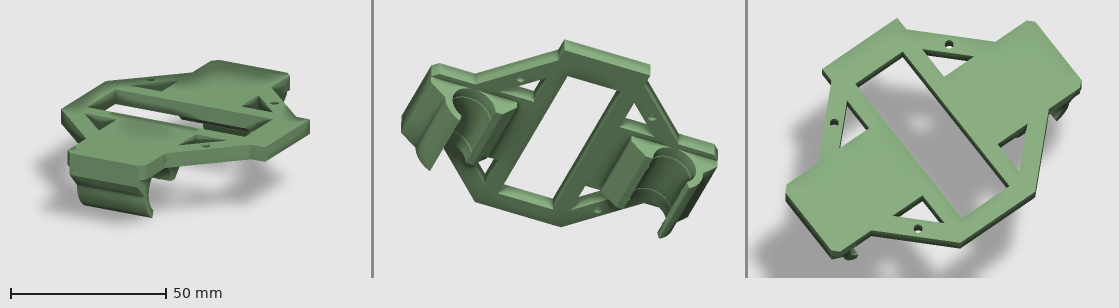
import cadquery as cq
import math

LENGTH = 100.0
PLATE_THICKNESS = 5.0
FRAME_HALF_WIDTH = 35.0
SIDE_TAB_LENGTH = 5.0
SIDE_HALF_LENGTH = 15.0
TAB_HALF_WIDTH = 14.5
TAB_CHAMFER = 2.0

WINDOW_WIDTH = 58.0
WINDOW_LENGTH = 19.0
WINDOW_OFFSET = 0.5
TRIANGLE_LEG = 12.0
HOLE_DIAMETER = 2.9
HOLE_SPACING_X = 45.6
FITTING_OFFSET = -0.2
HOLE_SPACING_Y = 46.0

CLIP_WIDTH = 25.0
CLIP_LENGTH = 30.0
RECESS_DEPTH = 2.5
BORE_RADIUS = 7.5
HOOK_RADIUS = 10.0
HOOK_END_ANGLE = 60.0
TIP_TILT = 15.0

RIDGE_HEIGHT = 0.25
RIDGE_WIDTH = 0.9
RIDGE_GAP = 15.0

HALF_LENGTH = LENGTH / 2
DIAGONAL_RUN = FRAME_HALF_WIDTH - TAB_HALF_WIDTH
TAB_ROOT = SIDE_HALF_LENGTH + DIAGONAL_RUN
BORE_Y = HALF_LENGTH - CLIP_LENGTH / 2
BORE_Z = -BORE_RADIUS
CLIP_SLOPE = CLIP_LENGTH / 2 - HOOK_RADIUS
SHOULDER_Z = BORE_Z + CLIP_SLOPE
CLIP_INNER_END = HALF_LENGTH - CLIP_LENGTH


def make_blank():
    """Octagonal plate with its tabs, before any opening is cut."""
    octagon = (
        cq.Workplane("XY")
        .polyline([
            (-FRAME_HALF_WIDTH, -SIDE_HALF_LENGTH),
            (-TAB_HALF_WIDTH, -TAB_ROOT),
            (TAB_HALF_WIDTH, -TAB_ROOT),
            (FRAME_HALF_WIDTH, -SIDE_HALF_LENGTH),
            (FRAME_HALF_WIDTH, SIDE_HALF_LENGTH),
            (TAB_HALF_WIDTH, TAB_ROOT),
            (-TAB_HALF_WIDTH, TAB_ROOT),
            (-FRAME_HALF_WIDTH, SIDE_HALF_LENGTH),
        ])
        .close()
        .extrude(PLATE_THICKNESS)
    )
    end_tabs = (
        cq.Workplane("XY")
        .rect(2 * TAB_HALF_WIDTH, LENGTH)
        .extrude(PLATE_THICKNESS)
        .edges("|Z")
        .chamfer(TAB_CHAMFER)
    )
    side_tab = (
        cq.Workplane("XY")
        .rect(FRAME_HALF_WIDTH + SIDE_TAB_LENGTH, 2 * SIDE_HALF_LENGTH)
        .extrude(PLATE_THICKNESS)
        .translate(((FRAME_HALF_WIDTH + SIDE_TAB_LENGTH) / 2, 0, 0))
    )
    return octagon.union(end_tabs).union(side_tab)


def make_triangle(side_x, side_y):
    """Cutter for the triangular opening in one corner of the frame."""
    return (
        cq.Workplane("XY")
        .polyline([
            (side_x * TAB_HALF_WIDTH, side_y * SIDE_HALF_LENGTH),
            (side_x * (TAB_HALF_WIDTH + TRIANGLE_LEG), side_y * SIDE_HALF_LENGTH),
            (side_x * TAB_HALF_WIDTH, side_y * (SIDE_HALF_LENGTH + TRIANGLE_LEG)),
        ])
        .close()
        .extrude(PLATE_THICKNESS)
    )


def make_recess(side_y):
    """Cutter for the clip seat in the underside of one end tab."""
    return (
        cq.Workplane("XY")
        .rect(CLIP_WIDTH, CLIP_LENGTH)
        .extrude(RECESS_DEPTH)
        .translate((FITTING_OFFSET, side_y * BORE_Y, 0))
    )


def make_plate():
    plate = make_blank()

    window = (
        cq.Workplane("XY")
        .center(WINDOW_OFFSET, 0)
        .rect(WINDOW_WIDTH, WINDOW_LENGTH)
        .extrude(PLATE_THICKNESS)
    )
    plate = plate.cut(window)

    for side_x in (-1, 1):
        for side_y in (-1, 1):
            plate = plate.cut(make_triangle(side_x, side_y))

    hole_x = HOLE_SPACING_X / 2
    hole_y = HOLE_SPACING_Y / 2
    holes = (
        cq.Workplane("XY")
        .center(FITTING_OFFSET, 0)
        .pushPoints([(-hole_x, hole_y), (hole_x, hole_y), (hole_x, -hole_y)])
        .circle(HOLE_DIAMETER / 2)
        .extrude(PLATE_THICKNESS)
    )
    plate = plate.cut(holes)

    for side_y in (-1, 1):
        plate = plate.cut(make_recess(side_y))
    return plate


def make_clip_slice(width, bore_radius):
    """Slice of the +Y clip, centred on X = 0, with the given bore radius."""
    tip_angle = math.radians(HOOK_END_ANGLE)
    tilt = math.radians(TIP_TILT)
    outer_y = HOOK_RADIUS * math.cos(tip_angle)
    outer_z = -HOOK_RADIUS * math.sin(tip_angle)
    to_midpoint = outer_y * math.sin(tilt) - outer_z * math.cos(tilt)
    face_length = to_midpoint - math.sqrt(to_midpoint**2 - HOOK_RADIUS**2 + bore_radius**2)
    inner_y = outer_y - face_length * math.sin(tilt)
    inner_z = outer_z + face_length * math.cos(tilt)

    half_angle = tip_angle / 2
    return (
        cq.Workplane("YZ")
        .moveTo(CLIP_INNER_END, RECESS_DEPTH)
        .lineTo(HALF_LENGTH, RECESS_DEPTH)
        .lineTo(HALF_LENGTH, SHOULDER_Z)
        .lineTo(BORE_Y + HOOK_RADIUS, BORE_Z)
        .threePointArc(
            (BORE_Y + HOOK_RADIUS * math.cos(half_angle), BORE_Z - HOOK_RADIUS * math.sin(half_angle)),
            (BORE_Y + outer_y, BORE_Z + outer_z),
        )
        .lineTo(BORE_Y + inner_y, BORE_Z + inner_z)
        .threePointArc((BORE_Y, BORE_Z + bore_radius), (BORE_Y - bore_radius, BORE_Z))
        .lineTo(CLIP_INNER_END + CLIP_SLOPE, BORE_Z)
        .lineTo(CLIP_INNER_END, SHOULDER_Z)
        .close()
        .extrude(width / 2, both=True)
    )


def make_clip(side_y):
    """Clip whose hook reaches down at the +Y or -Y end of the plate."""
    clip = make_clip_slice(CLIP_WIDTH, BORE_RADIUS)
    ridge = make_clip_slice(RIDGE_WIDTH, BORE_RADIUS - RIDGE_HEIGHT)
    ridge_x = (RIDGE_GAP + RIDGE_WIDTH) / 2
    for side_x in (-1, 1):
        clip = clip.union(ridge.translate((side_x * ridge_x, 0, 0)))
    if side_y < 0:
        clip = clip.mirror("XZ")
    return clip.translate((FITTING_OFFSET, 0, 0))


plate = make_plate()
clips = [make_clip(side_y) for side_y in (-1, 1)]

result = cq.Compound.makeCompound([plate.val(), *[clip.val() for clip in clips]])